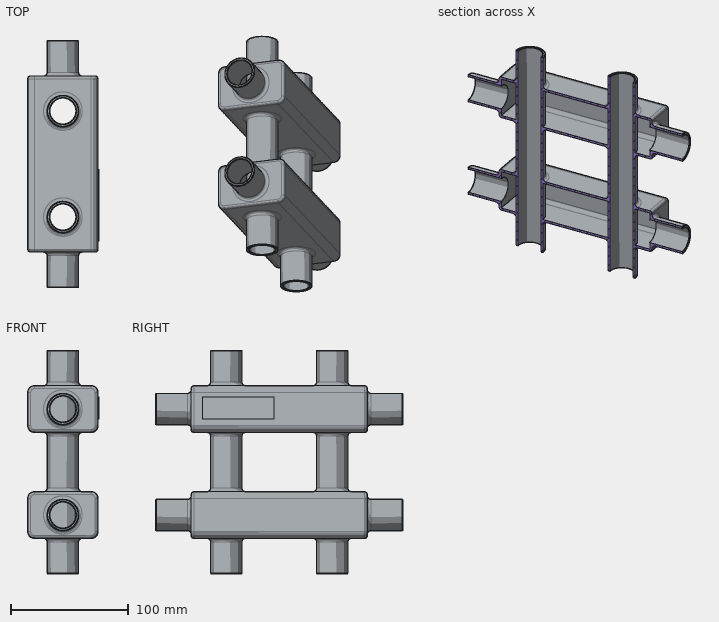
import cadquery as cq

box_length = 150.0
box_width = 59.8
box_height = 40.0
long_edge_radius = 5.9
end_edge_radius = 2.5
wall_thickness = 2.5

pipe_diameter = 26.9
bore_diameter = 22.0
pipe_pitch = 90.0
root_radius = 3.0
rim_chamfer = 0.5

total_length = 210.0
total_height = 190.0

plate_thickness = 0.6
plate_length = 61.0
plate_height = 18.5
plate_center_y = -34.9
plate_offset_z = 0.8

pipe_radius = pipe_diameter / 2
bore_radius = bore_diameter / 2
half_pitch = pipe_pitch / 2
box_levels = (-half_pitch, half_pitch)
riser_places = (-half_pitch, half_pitch)


def box_at(level):
    """Rounded box lying along Y, centred at the given height."""
    return (
        cq.Workplane("XY")
        .box(box_width, box_length, box_height)
        .edges("|Y").fillet(long_edge_radius)
        .faces("<Y or >Y").edges().fillet(end_edge_radius)
        .translate((0, 0, level))
    )


def chamber_at(level):
    """Hollow of one box, with the end bores that open into it, around the risers."""
    chamber = (
        cq.Workplane("XY")
        .box(
            box_width - 2 * wall_thickness,
            box_length - 2 * wall_thickness,
            box_height - 2 * wall_thickness,
        )
        .edges("|Y").fillet(long_edge_radius - wall_thickness)
        .translate((0, 0, level))
    )
    end_bores = (
        cq.Workplane("XZ", origin=(0, total_length / 2, level))
        .circle(bore_radius)
        .extrude(total_length)
    )
    chamber = chamber.union(end_bores)
    for y in riser_places:
        chamber = chamber.cut(riser_at(y))
    return chamber


def riser_at(y):
    """Solid vertical pipe through both boxes, with chamfered rims."""
    return (
        cq.Workplane("XY", origin=(0, y, -total_height / 2))
        .circle(pipe_radius)
        .extrude(total_height)
        .faces("<Z or >Z").chamfer(rim_chamfer)
    )


def crosspipe_at(level):
    """Solid pipe along Y through one box, with chamfered rims."""
    return (
        cq.Workplane("XZ", origin=(0, total_length / 2, level))
        .circle(pipe_radius)
        .extrude(total_length)
        .faces("<Y or >Y").chamfer(rim_chamfer)
    )


def root_edges(solid):
    """Circles where the pipes enter the flat faces of the boxes."""
    outer_half_height = half_pitch + box_height / 2
    inner_half_height = half_pitch - box_height / 2
    tolerance = 0.02

    def is_root(edge):
        if edge.geomType() != "CIRCLE" or abs(edge.radius() - pipe_radius) > tolerance:
            return False
        center = edge.Center()
        on_end = abs(abs(center.y) - box_length / 2) < tolerance
        on_level = any(
            abs(abs(center.z) - height) < tolerance
            for height in (outer_half_height, inner_half_height)
        )
        return on_end or on_level

    return solid.newObject([edge for edge in solid.edges().vals() if is_root(edge)])


body = box_at(box_levels[0])
body = body.union(box_at(box_levels[1]))
for y in riser_places:
    body = body.union(riser_at(y))
for level in box_levels:
    body = body.union(crosspipe_at(level))
body = root_edges(body).fillet(root_radius)

for y in riser_places:
    bore = (
        cq.Workplane("XY", origin=(0, y, -total_height / 2))
        .circle(bore_radius)
        .extrude(total_height)
    )
    body = body.cut(bore)

for level in box_levels:
    body = body.cut(chamber_at(level))

rim_faces = body.faces("<Y or >Y or <Z or >Z")
bore_edges = rim_faces.edges(cq.selectors.RadiusNthSelector(0))
body = bore_edges.chamfer(rim_chamfer)

plate = cq.Workplane("XY").box(2 * plate_thickness, plate_length, plate_height)
plate = plate.translate((box_width / 2, plate_center_y, box_levels[1] + plate_offset_z))

result = body.union(plate)